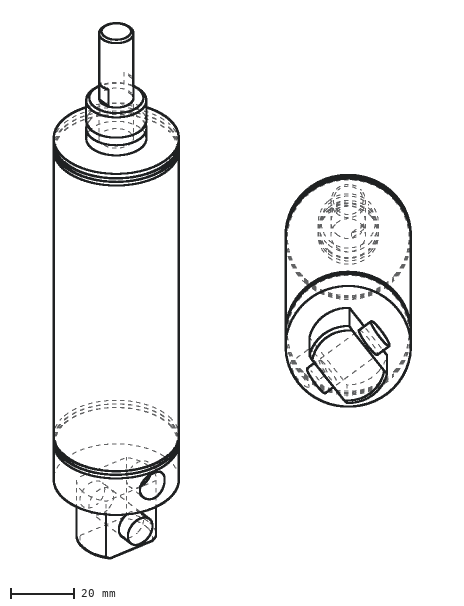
import cadquery as cq

total_height = 193.8
head_bottom = 22.5
lower_groove_bottom = 36.5
upper_groove_bottom = 148.5
barrel_top = 153.0
collar_top = 168.5

barrel_radius = 19.8
roll_width = 1.4
roll_depth = 0.5
rolls_per_end = 2

collar_radius = 9.5
collar_chamfer = 1.0
neck_groove_bottom = 156.8
neck_groove_width = 3.0
neck_groove_depth = 0.5

tang_radius = 12.6
tang_thickness = 15.9
tang_chamfer = 1.2

pin_radius = 4.8
pin_length = 25.4
pin_height = 9.7

port_radius = 4.8
port_depth = 7.8
port_height = 31.0

rod_radius = 5.5
rod_chamfer = 0.8
flat_span = 9.7
flat_height = 6.4


def ring_groove(surface_radius, bottom, width, depth):
    """Ring with a circular-arc section that cuts a rounded groove."""
    half_width = width / 2
    arc_radius = (half_width**2 + depth**2) / (2 * depth)
    arc_center = surface_radius - depth + arc_radius
    return (
        cq.Workplane("XZ")
        .center(arc_center, bottom + half_width)
        .circle(arc_radius)
        .revolve(360, (-arc_center, 0), (-arc_center, 1))
    )


def make_tang():
    tang = cq.Workplane("XY").circle(tang_radius).extrude(head_bottom)
    tang = tang.faces("<Z").chamfer(tang_chamfer)
    slab = cq.Workplane("XY").box(
        tang_thickness, 2 * tang_radius, head_bottom, centered=(True, True, False)
    )
    return tang.intersect(slab)


def make_collar():
    collar = (
        cq.Workplane("XY", origin=(0, 0, barrel_top))
        .circle(collar_radius)
        .extrude(collar_top - barrel_top)
        .faces(">Z")
        .chamfer(collar_chamfer)
    )
    return collar.cut(
        ring_groove(collar_radius, neck_groove_bottom, neck_groove_width, neck_groove_depth)
    )


def make_barrel():
    barrel = (
        cq.Workplane("XY", origin=(0, 0, head_bottom))
        .circle(barrel_radius)
        .extrude(barrel_top - head_bottom)
    )
    for end_bottom in (lower_groove_bottom, upper_groove_bottom):
        for index in range(rolls_per_end):
            bottom = end_bottom + index * roll_width
            barrel = barrel.cut(ring_groove(barrel_radius, bottom, roll_width, roll_depth))
    port = (
        cq.Workplane("YZ", origin=(barrel_radius - port_depth, 0, port_height))
        .circle(port_radius)
        .extrude(port_depth)
    )
    return barrel.cut(port)


def make_rod():
    """Rod running from the front face of the barrel to the upper end."""
    rod = (
        cq.Workplane("XY", origin=(0, 0, barrel_top))
        .circle(rod_radius)
        .extrude(total_height - barrel_top)
        .faces(">Z")
        .chamfer(rod_chamfer)
    )
    flat_depth = rod_radius - flat_span / 2
    for side in (-1, 1):
        flat = cq.Workplane("XY", origin=(0, side * (flat_span + flat_depth) / 2, collar_top)).box(
            2 * rod_radius, flat_depth, flat_height, centered=(True, True, False)
        )
        rod = rod.cut(flat)
    return rod


def make_pin():
    return (
        cq.Workplane("YZ", origin=(-pin_length / 2, 0, pin_height))
        .circle(pin_radius)
        .extrude(pin_length)
    )


rod = make_rod()
pin = make_pin()

rod_bore = (
    cq.Workplane("XY", origin=(0, 0, barrel_top))
    .circle(rod_radius)
    .extrude(collar_top - barrel_top)
)
housing = make_barrel().union(make_tang()).union(make_collar()).cut(rod_bore).cut(pin)

result = cq.Compound.makeCompound([housing.val(), rod.val(), pin.val()])